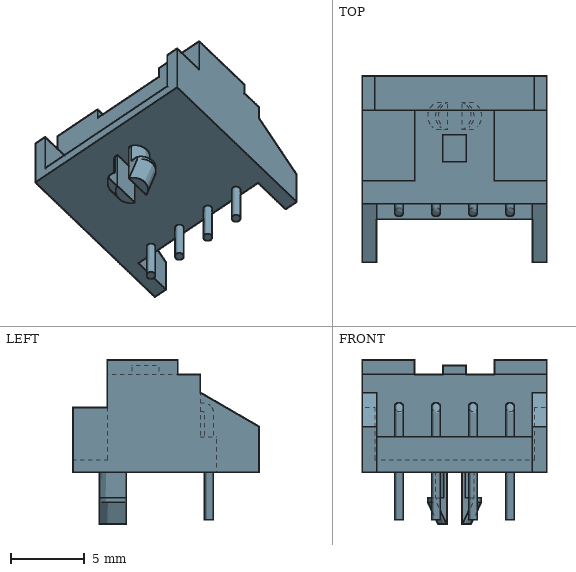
import cadquery as cq


WIDTH = 12.5
BACK_Y = 9.2
WING_FRONT_Y = -3.4
FRONT_Y = 0.57
LEDGE_FRONT_Y = -0.5
TOP_Z = 7.6
ROOF_Z = 6.63
LEDGE_Z = 2.4

WING_THICKNESS = 0.98
WING_ROOT_Z = 5.4
WING_TIP_Z = 3.1

STEP_Y = 6.88
STEP_Z = 4.4
POCKET_WALL = 0.87
POCKET_FLOOR = POCKET_WALL

PAD_WIDTH = 3.55
PAD_FRONT_Y = 2.1
KEY_WIDTH = 1.58
KEY_LENGTH = 1.82
KEY_CENTER_Y = 4.3
KEY_TOP_Z = 7.23

PIN_COUNT = 4
PIN_PITCH = 2.5
PIN_DIAMETER = 0.6
PIN_BOTTOM_Z = -3.2
PIN_CREST_Z = 4.72
BEND_RADIUS = 0.4
PIN_EMBED_Y = 2.0

LEG_CENTER_Y = 6.5
LEG_GAP = 1.0
LEG_DEPTH = 1.83
LEG_BULGE = 0.58
SHAFT_REACH = 1.295
BARB_REACH = 1.82
LEG_TIP_REACH = 1.11
BARB_TOP_Z = -1.71
BARB_BOTTOM_Z = -2.0
LEG_BOTTOM_Z = -3.5


def block(x_min, x_max, y_min, y_max, z_min, z_max):
    """Box given by its limits along each axis."""
    size = (x_max - x_min, y_max - y_min, z_max - z_min)
    return cq.Workplane("XY").box(*size, centered=False).translate((x_min, y_min, z_min))


def make_wing(side):
    """Sloped wing running forward from one end of the housing; side is -1 or 1."""
    profile = [
        (FRONT_Y, 0),
        (WING_FRONT_Y, 0),
        (WING_FRONT_Y, WING_TIP_Z),
        (FRONT_Y, WING_ROOT_Z),
    ]
    wing = cq.Workplane("YZ").polyline(profile).close().extrude(WING_THICKNESS / 2, both=True)
    return wing.translate((side * (WIDTH - WING_THICKNESS) / 2, 0, 0))


def make_housing():
    """Stepped body with wings, pin ledge, roof pads, key and rear pocket."""
    half = WIDTH / 2
    body = block(-half, half, FRONT_Y, STEP_Y, 0, ROOF_Z)
    body = body.union(block(-half, half, STEP_Y, BACK_Y, 0, STEP_Z))
    body = body.union(block(-half, -half + PAD_WIDTH, PAD_FRONT_Y, STEP_Y, ROOF_Z, TOP_Z))
    body = body.union(block(half - PAD_WIDTH, half, PAD_FRONT_Y, STEP_Y, ROOF_Z, TOP_Z))

    ledge_half = half - WING_THICKNESS
    body = body.union(block(-ledge_half, ledge_half, LEDGE_FRONT_Y, FRONT_Y, 0, LEDGE_Z))
    for side in (-1, 1):
        body = body.union(make_wing(side))

    key_front = KEY_CENTER_Y - KEY_LENGTH / 2
    key_back = KEY_CENTER_Y + KEY_LENGTH / 2
    body = body.union(block(-KEY_WIDTH / 2, KEY_WIDTH / 2, key_front, key_back, ROOF_Z, KEY_TOP_Z))

    pocket_half = half - POCKET_WALL
    return body.cut(block(-pocket_half, pocket_half, STEP_Y, BACK_Y, POCKET_FLOOR, STEP_Z))


def make_pin(x):
    """Round pin rising through the ledge and bending back into the housing."""
    axis_z = PIN_CREST_Z - PIN_DIAMETER / 2
    bend_start_z = axis_z - BEND_RADIUS
    path = (
        cq.Workplane("YZ")
        .moveTo(0, PIN_BOTTOM_Z)
        .lineTo(0, bend_start_z)
        .tangentArcPoint((BEND_RADIUS, axis_z), relative=False)
        .lineTo(PIN_EMBED_Y, axis_z)
    )
    pin = cq.Workplane("XY", origin=(0, 0, PIN_BOTTOM_Z)).circle(PIN_DIAMETER / 2).sweep(path)
    return pin.translate((x, 0, 0))


def leg_section(plane, reach):
    """Leg outline: flat inner and side faces, bulged outer face out to x = reach."""
    inner = LEG_GAP / 2
    half_depth = LEG_DEPTH / 2
    shoulder = reach - LEG_BULGE
    return (
        plane.moveTo(inner, -half_depth)
        .lineTo(shoulder, -half_depth)
        .threePointArc((reach, 0), (shoulder, half_depth))
        .lineTo(inner, half_depth)
        .close()
    )


def make_leg():
    """Snap leg on the +X side: shaft, barb and tapered tip."""
    shaft_plane = cq.Workplane("XY", origin=(0, LEG_CENTER_Y, BARB_TOP_Z))
    shaft = leg_section(shaft_plane, SHAFT_REACH).extrude(-BARB_TOP_Z)

    barb_plane = cq.Workplane("XY", origin=(0, LEG_CENTER_Y, BARB_BOTTOM_Z))
    barb = leg_section(barb_plane, BARB_REACH).extrude(BARB_TOP_Z - BARB_BOTTOM_Z)

    tip_height = BARB_BOTTOM_Z - LEG_BOTTOM_Z
    tip_plane = leg_section(barb_plane, BARB_REACH).workplane(offset=-tip_height)
    tip = leg_section(tip_plane, LEG_TIP_REACH).loft(ruled=True)
    return shaft.union(barb).union(tip)


result = make_housing()
for index in range(PIN_COUNT):
    result = result.union(make_pin((index - (PIN_COUNT - 1) / 2) * PIN_PITCH))
leg = make_leg()
result = result.union(leg).union(leg.mirror("YZ"))